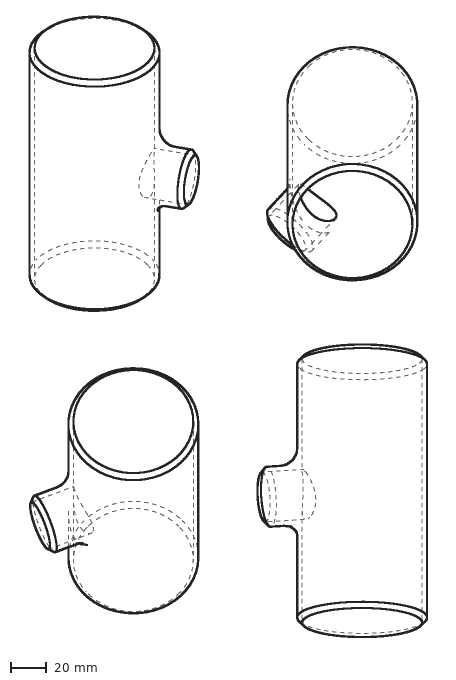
import cadquery as cq

pipe_length = 152.4
pipe_diameter = 73.0
pipe_radius = pipe_diameter / 2
wall = 2.9
bevel = wall

overall_width = 93.5
outlet_reach = overall_width - pipe_radius
outlet_radius = 16.9
junction_fillet = 10.0


def bevelled_pipe():
    """Solid pipe body with a weld bevel at both ends."""
    body = cq.Workplane("XY").circle(pipe_radius).extrude(pipe_length / 2, both=True)
    return body.faces("|Z").chamfer(bevel)


def bevelled_outlet():
    """Solid outlet from the pipe axis to its bevelled free end."""
    body = cq.Workplane("YZ").circle(outlet_radius).extrude(outlet_reach)
    return body.faces(">X").chamfer(bevel)


def blend_junction(body):
    """Round the saddle-shaped edge where the outlet meets the pipe."""
    saddle_start = (pipe_radius**2 - outlet_radius**2) ** 0.5
    margin = 0.8
    side = outlet_radius + margin
    saddle_box = cq.selectors.BoxSelector(
        (saddle_start - margin, -side, -side),
        (pipe_radius + margin, side, side),
        boundingbox=True,
    )
    return body.edges(saddle_box).fillet(junction_fillet)


pipe_bore = cq.Workplane("XY").circle(pipe_radius - wall).extrude(pipe_length / 2, both=True)
outlet_bore = cq.Workplane("YZ").circle(outlet_radius - wall).extrude(outlet_reach)

tee_body = blend_junction(bevelled_pipe().union(bevelled_outlet()))
result = tee_body.cut(pipe_bore).cut(outlet_bore)